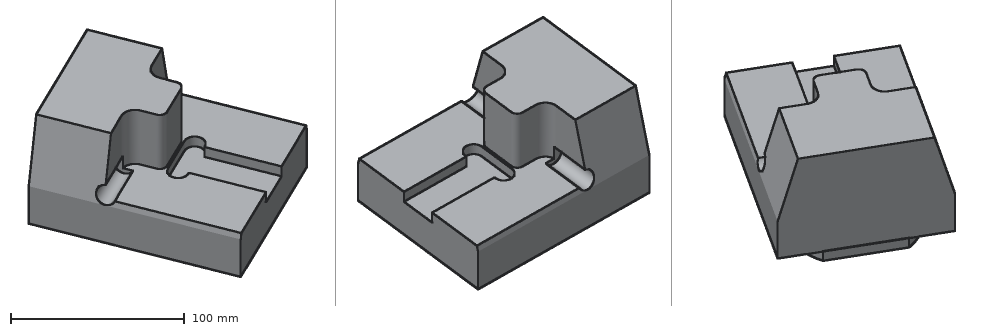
import cadquery as cq
import math

length = 131.0
width = 105.0
height = 81.0
base_bottom = 8.0
taper_start = 36.2
taper_angle = 15.0
shelf_height = 40.2

wall_x = 46.2
tongue_tip_x = 69.4
tongue_half_width = 15.6
root_radius = 8.4
tip_radius = 4.6

groove_x = 47.2
groove_z = 42.7
groove_radius = 6.2
groove_inner_y = 22.3

slot_depth = 7.5
slot_start_x = 70.7
slot_width = 12.6
slot_length = 38.8
channel_width = 24.6

foot_x = 32.1
foot_diameter = 81.2
foot_across_flats = 63.3
disc_diameter = 50.0
disc_height = 0.5

half_width = width / 2
top_half_width = half_width - (height - taper_start) * math.tan(math.radians(taper_angle))


def make_body():
    profile = [
        (-half_width, base_bottom),
        (half_width, base_bottom),
        (half_width, taper_start),
        (top_half_width, height),
        (-top_half_width, height),
        (-half_width, taper_start),
    ]
    return cq.Workplane("YZ").polyline(profile).close().extrude(length)


def make_shelf_cutter():
    """Space above the shelf, leaving the step wall and its rounded tongue."""
    root_y = tongue_half_width + root_radius
    root_x = wall_x + root_radius
    tip_x = tongue_tip_x - tip_radius
    tip_y = tongue_half_width - tip_radius
    return (
        cq.Workplane("XY", origin=(0, 0, shelf_height))
        .moveTo(length, -half_width)
        .lineTo(wall_x, -half_width)
        .lineTo(wall_x, -root_y)
        .radiusArc((root_x, -tongue_half_width), root_radius)
        .lineTo(tip_x, -tongue_half_width)
        .radiusArc((tongue_tip_x, -tip_y), -tip_radius)
        .lineTo(tongue_tip_x, tip_y)
        .radiusArc((tip_x, tongue_half_width), -tip_radius)
        .lineTo(root_x, tongue_half_width)
        .radiusArc((wall_x, root_y), root_radius)
        .lineTo(wall_x, half_width)
        .lineTo(length, half_width)
        .close()
        .extrude(height - shelf_height)
    )


def make_groove_cutter(side):
    """Cylinder from one side face (side = -1 or 1) to the groove's inner end."""
    groove_length = half_width - groove_inner_y
    direction = cq.Vector(0, side, 0)
    start = cq.Vector(groove_x, side * groove_inner_y, groove_z)
    return cq.Workplane(cq.Solid.makeCylinder(groove_radius, groove_length, start, direction))


def make_slot_cutter():
    slot_x = slot_start_x + slot_width / 2
    floor = cq.Workplane("XY", origin=(slot_x, 0, shelf_height - slot_depth))
    cross_slot = floor.slot2D(slot_length, slot_width, 90).extrude(slot_depth)
    channel = floor.rect(length - slot_x, channel_width, centered=(False, True)).extrude(slot_depth)
    return cross_slot.union(channel)


def make_foot():
    foot_height = base_bottom - disc_height
    foot = cq.Workplane("XY", origin=(foot_x, 0, disc_height)).circle(foot_diameter / 2).extrude(foot_height)
    flats = (
        cq.Workplane("XY", origin=(foot_x, 0, disc_height))
        .rect(foot_across_flats, foot_diameter)
        .extrude(foot_height)
    )
    disc = cq.Workplane("XY", origin=(foot_x, 0, 0)).circle(disc_diameter / 2).extrude(disc_height)
    return foot.intersect(flats).union(disc)


result = make_body().cut(make_shelf_cutter())
for groove_side in (-1, 1):
    result = result.cut(make_groove_cutter(groove_side))
result = result.cut(make_slot_cutter()).union(make_foot())